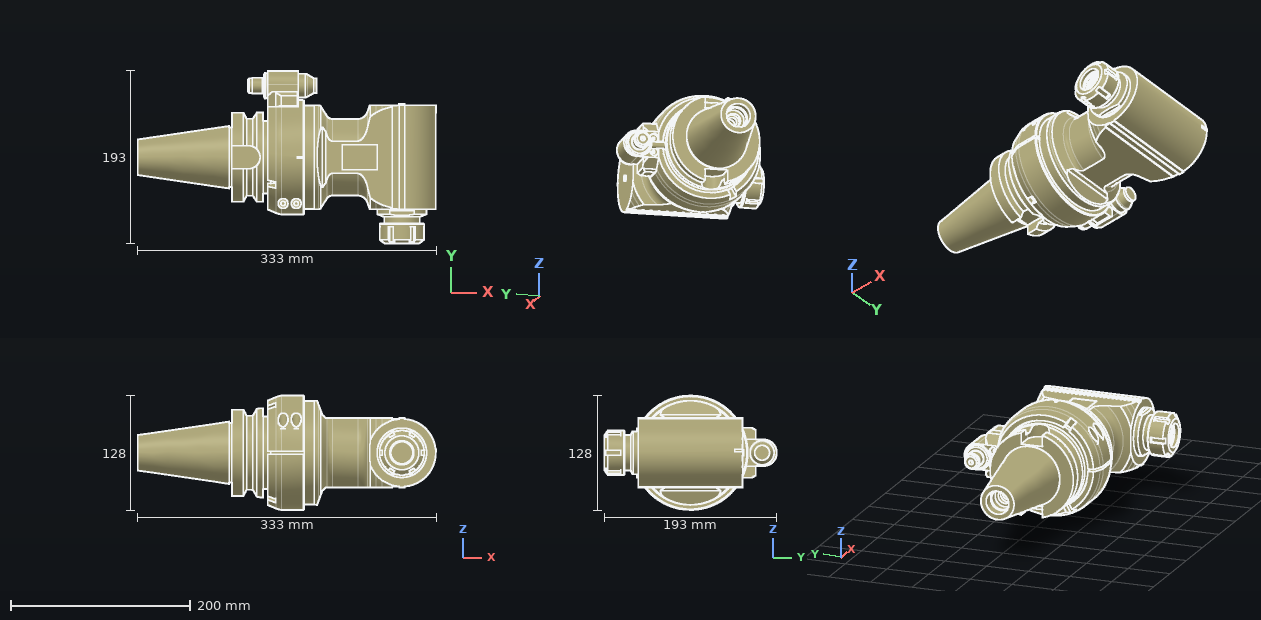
import cadquery as cq
import math


overall_width = 193.0

taper_length = 102.0
taper_small_radius = 20.0
taper_large_radius = 35.0
relief_radius = 33.3
flange_start = 105.0
flange_radius = 50.0
gripper_radius = 43.3
gripper_slope_start = 118.0
gripper_floor_start = 121.5
gripper_floor_end = 128.5
gripper_slope_end = 133.0
flange_end = 140.0
shank_neck_radius = 40.5
key_width = 25.5
key_end = 136.5
key_floor = 35.3
bore_mouth_radius = 27.0 / 2
bore_mouth_depth = 13.3
thread_radius = 12.0
thread_depth = 23.3
seal_radius = 8.0
seal_depth = 30.0
coolant_radius = 10.3 / 2
coolant_depth = 40.0

ring_start = 145.0
ring_end = 186.0
ring_radius = 64.0
ring_recess_depth = 3.3
hub_start = ring_start + ring_recess_depth
ring_face_radius = 58.3
ring_bore_radius = 51.5
ring_cone_end = 154.3
ring_cone_radius = 62.3
ring_round_end = 160.0
ring_rear_chamfer = 1.0
slit_width = 3.0
face_slot_width = 8.0
face_slot_depth = 9.0
face_slot_inner = 48.3
face_slot_outer = 66.5
face_slot_angles = (60, 180, 300)
clamp_screw_stations = (162.2, 177.0)
clamp_screw_y = -51.5
clamp_screw_radius = 11.0 / 2
clamp_seat_z = 26.5
clamp_socket_radius = 5.0 / 2
clamp_socket_depth = 3.3
mark_length = 8.0
mark_half_width = 1.5

spindle_x = 295.0
nose_radius = 38.0
head_half_width = 58.3
flat_z = 39.0
flat_end = 284.0
rib_width = 6.3
hub_front_radius = 58.0
hub_step = 197.2
hub_radius = 58.3
hub_edge = 201.2
hub_cone_start = 204.2
hub_cone_drop = 1.0
hub_cone_angle = 62
neck_radius = 43.0
neck_start = 217.0
neck_end = 245.5
neck_front_fillet = 6.5
neck_rear_fillet = 11.3
neck_rear_angle = 68
shoulder_bands = (259.5, 265.5, 272.5, 284.0)
hub_cut_start = 200.2
hub_cut_crease = 206.2
hub_cut_crease_z = 42.3
hub_cut_end = 210.0
plate_start = 228.2
plate_length = 39.3
plate_width = 28.0
plate_depth = 0.3
rear_boss_radius = 3.3
rear_boss_height = 1.3
tab_end = 333.0
tab_depth = 1.5
tab_length = 8.5
tab_width = 2.5
tab_z = 2.5

pin_y = 80.0
block_round_radius = 15.0
block_outer_y = overall_width / 2
block_seat_y = 56.5
block_length = 34.3
foot_length = 33.3
foot_outer_y = 73.0
foot_half_height = 28.0
foot_round_drop = 2.0
foot_chamfer_y = 4.3
foot_chamfer_z = 2.5
foot_chamfer_x = 5.0
pin_tip_x = 123.0
pin_radius = 18.0 / 2
pin_tip_radius = 6.5
pin_tip_chamfer = 1.5
pin_waist_radius = 8.3
pin_land_start = 127.5
pin_land_end = 139.3
pin_hole_radius = 5.0 / 2
pin_hole_depth = 6.5
collar_start = 141.0
collar_radius = 14.5
collar_face_radius = 12.3
collar_chamfer_end = 142.0
collar_rim_end = 143.0
collar_back_radius = 14.0
sleeve_radius = 27.0 / 2
sleeve_end = 187.2
sleeve_rim_radius = 12.5
sleeve_rim_end = 189.2
sleeve_cone_end = 196.5
sleeve_tip_radius = 8.3
sleeve_tip_end = 199.5
block_screw_y = 61.5
block_screw_z = 7.5
block_screw_radius = 10.0 / 2
block_screw_depth = 3.3
block_socket_radius = 3.0 / 2
block_socket_depth = 6.0
key_pin_radius = face_slot_width / 2
key_pin_inner_y = face_slot_inner
key_pin_outer_y = 65.3

disc_radius = 27.5
disc_end = 60.0
wrench_end = 63.5
wrench_cone_end = 66.5
wrench_flat_z = 24.0
spindle_neck_radius = 20.0
nut_start = 73.5
nut_radius = 25.0
nut_edge = 92.3
nut_face_radius = 19.0
nut_end = overall_width / 2
nut_back_chamfer = 1.0
collet_radius = 27.0 / 2
collet_depth = 16.5
collet_floor_radius = 12.3
collet_step_depth = 15.0
collet_groove_radius = 15.3
collet_groove_width = 2.5
collet_groove_depths = (5.3, 10.5)
nut_slot_count = 6
nut_slot_width = 6.0
nut_slot_start = 77.5
nut_slot_floor = 21.5


def revolve_x(outline):
    """Turn a closed (x, radius) outline about the X axis."""
    return outline.close().revolve(360, (0, 0, 0), (1, 0, 0))


def turned(points):
    """Turn a body about the X axis from (x, radius) points that start and end on the axis."""
    return revolve_x(cq.Workplane("XY").polyline(points))


def rod_x(start, end, radius, y=0.0, z=0.0):
    return cq.Workplane("YZ", origin=(start, y, z)).circle(radius).extrude(end - start)


def block(x_range, y_range, z_range):
    size = [high - low for low, high in (x_range, y_range, z_range)]
    corner = (x_range[0], y_range[0], z_range[0])
    return cq.Workplane("XY").box(*size, centered=False).translate(corner)


def make_shank():
    shank = turned([
        (0, 0),
        (0, taper_small_radius),
        (taper_length, taper_large_radius),
        (taper_length, relief_radius),
        (flange_start, relief_radius),
        (flange_start, flange_radius),
        (gripper_slope_start, flange_radius),
        (gripper_floor_start, gripper_radius),
        (gripper_floor_end, gripper_radius),
        (gripper_slope_end, flange_radius),
        (flange_end, flange_radius),
        (flange_end, shank_neck_radius),
        (hub_start, shank_neck_radius),
        (hub_start, 0),
    ])
    bore = turned([
        (0, 0),
        (0, bore_mouth_radius),
        (bore_mouth_depth, bore_mouth_radius),
        (bore_mouth_depth, thread_radius),
        (thread_depth, thread_radius),
        (thread_depth, seal_radius),
        (seal_depth, seal_radius),
        (seal_depth, coolant_radius),
        (coolant_depth, coolant_radius),
        (coolant_depth + coolant_radius, 0),
    ])
    shank = shank.cut(bore)

    end_center = key_end - key_width / 2
    keyway = block((taper_length, end_center), (-key_width / 2, key_width / 2), (key_floor, flange_radius))
    round_end = (
        cq.Workplane("XY", origin=(end_center, 0, key_floor))
        .circle(key_width / 2)
        .extrude(flange_radius - key_floor)
    )
    keyway = keyway.union(round_end)
    return shank.cut(keyway).cut(keyway.mirror("XY"))


def make_clamp_ring():
    outline = (
        cq.Workplane("XY")
        .moveTo(ring_start, ring_bore_radius)
        .lineTo(ring_start, ring_face_radius)
        .lineTo(ring_cone_end, ring_cone_radius)
        .tangentArcPoint((ring_round_end, ring_radius), relative=False)
        .lineTo(ring_end - ring_rear_chamfer, ring_radius)
        .lineTo(ring_end, ring_radius - ring_rear_chamfer)
        .lineTo(ring_end, ring_bore_radius)
    )
    ring = revolve_x(outline)

    ring = ring.cut(block((ring_start, ring_end), (-ring_radius, 0), (-slit_width / 2, slit_width / 2)))

    slot = block(
        (ring_start, ring_start + face_slot_depth),
        (-face_slot_outer, -face_slot_inner),
        (-face_slot_width / 2, face_slot_width / 2),
    )
    for angle in face_slot_angles:
        ring = ring.cut(slot.rotate((0, 0, 0), (1, 0, 0), angle))

    for x in clamp_screw_stations:
        seat = cq.Workplane("XY", origin=(x, clamp_screw_y, clamp_seat_z))
        ring = ring.cut(seat.circle(clamp_screw_radius).extrude(ring_radius - clamp_seat_z))
        ring = ring.cut(seat.circle(clamp_socket_radius).extrude(-clamp_socket_depth))

    mark = (
        cq.Workplane("YZ", origin=(ring_end - mark_length, 0, 0))
        .polyline([
            (0, ring_radius - mark_half_width),
            (mark_half_width, ring_radius + mark_half_width),
            (-mark_half_width, ring_radius + mark_half_width),
        ])
        .close()
        .extrude(mark_length)
    )
    ring = ring.cut(mark)

    seat = block(
        (ring_start, ring_start + block_length),
        (block_seat_y, ring_radius),
        (-foot_half_height, foot_half_height),
    )
    return ring.cut(seat)


def make_housing():
    sphere_radius = math.hypot(nose_radius, head_half_width)
    front_angle = math.radians(hub_cone_angle)
    rear_angle = math.radians(neck_rear_angle)

    def fillet_point(x, radius, angle):
        return x + radius * math.sin(angle), neck_radius + radius * (1 - math.cos(angle))

    outline = (
        cq.Workplane("XY")
        .moveTo(hub_start, 0)
        .lineTo(hub_start, ring_bore_radius)
        .lineTo(ring_end, ring_bore_radius)
        .lineTo(ring_end, hub_front_radius)
        .lineTo(hub_step, hub_front_radius)
        .lineTo(hub_step, hub_radius)
        .lineTo(hub_edge, hub_radius)
        .tangentArcPoint((hub_cone_start, hub_radius - hub_cone_drop), relative=False)
        .lineTo(*fillet_point(neck_start, neck_front_fillet, -front_angle))
        .threePointArc(
            fillet_point(neck_start, neck_front_fillet, -front_angle / 2),
            (neck_start, neck_radius),
        )
        .lineTo(neck_end, neck_radius)
        .threePointArc(
            fillet_point(neck_end, neck_rear_fillet, rear_angle / 2),
            fillet_point(neck_end, neck_rear_fillet, rear_angle),
        )
    )
    for x in shoulder_bands:
        outline = outline.lineTo(x, math.sqrt(sphere_radius**2 - (x - spindle_x) ** 2))
    head_end = spindle_x + nose_radius
    outline = outline.lineTo(spindle_x, sphere_radius).lineTo(head_end, sphere_radius).lineTo(head_end, 0)
    housing = revolve_x(outline)

    profile = (
        cq.Workplane("XZ", origin=(0, head_half_width, 0))
        .moveTo(hub_start, -hub_radius)
        .lineTo(hub_start, hub_radius)
        .lineTo(hub_cut_start, hub_radius)
        .lineTo(hub_cut_crease, hub_cut_crease_z)
        .lineTo(hub_cut_end, flat_z)
        .lineTo(flat_end, flat_z)
        .lineTo(flat_end, nose_radius)
        .lineTo(spindle_x, nose_radius)
        .threePointArc((head_end, 0), (spindle_x, -nose_radius))
        .lineTo(flat_end, -nose_radius)
        .lineTo(flat_end, -flat_z)
        .lineTo(hub_cut_end, -flat_z)
        .lineTo(hub_cut_crease, -hub_cut_crease_z)
        .lineTo(hub_cut_start, -hub_radius)
        .close()
        .extrude(2 * head_half_width)
    )
    housing = housing.intersect(profile)

    rib = cq.Workplane("XY").box(rib_width, 2 * head_half_width, 2 * flat_z).translate((spindle_x, 0, 0))
    housing = housing.union(rib)

    plate = block(
        (plate_start, plate_start + plate_length),
        (-plate_width / 2, plate_width / 2),
        (flat_z - plate_depth, flat_z),
    )
    housing = housing.cut(plate)

    boss = (
        cq.Workplane("XZ", origin=(spindle_x, head_half_width, 0))
        .circle(rear_boss_radius)
        .extrude(-rear_boss_height)
    )
    tab = block(
        (tab_end - tab_depth, tab_end),
        (head_half_width - tab_length, head_half_width),
        (tab_z - tab_width / 2, tab_z + tab_width / 2),
    )
    return housing.union(boss).union(tab)


def make_stop():
    round_y = block_outer_y - block_round_radius
    block_end = ring_start + block_length
    upright = block(
        (ring_start, block_end),
        (block_seat_y, round_y),
        (-block_round_radius, block_round_radius),
    )
    stop = upright.union(rod_x(ring_start, block_end, block_round_radius, round_y))

    foot = (
        cq.Workplane("XZ", origin=(0, foot_outer_y, 0))
        .moveTo(ring_start, -block_round_radius)
        .lineTo(ring_start, block_round_radius)
        .lineTo(ring_cone_end, foot_half_height - foot_round_drop)
        .lineTo(ring_round_end, foot_half_height)
        .lineTo(ring_start + foot_length, foot_half_height)
        .lineTo(ring_start + foot_length, -foot_half_height)
        .lineTo(ring_round_end, -foot_half_height)
        .lineTo(ring_cone_end, foot_round_drop - foot_half_height)
        .lineTo(ring_start, -block_round_radius)
        .close()
        .extrude(foot_outer_y - block_seat_y)
    )
    foot_end_outline = (
        cq.Workplane("YZ", origin=(ring_start, 0, 0))
        .polyline([
            (block_seat_y, -foot_half_height),
            (foot_outer_y - foot_chamfer_y, -foot_half_height),
            (foot_outer_y, foot_chamfer_z - foot_half_height),
            (foot_outer_y, foot_half_height - foot_chamfer_z),
            (foot_outer_y - foot_chamfer_y, foot_half_height),
            (block_seat_y, foot_half_height),
        ])
        .close()
        .extrude(foot_length)
    )
    front_chamfer = (
        cq.Workplane("XY", origin=(0, 0, -foot_half_height))
        .polyline([
            (ring_start, foot_outer_y - foot_chamfer_y),
            (ring_start + foot_chamfer_x, foot_outer_y),
            (ring_start, foot_outer_y),
        ])
        .close()
        .extrude(2 * foot_half_height)
    )
    stop = stop.union(foot.intersect(foot_end_outline).cut(front_chamfer))

    pin = turned([
        (pin_tip_x, 0),
        (pin_tip_x, pin_tip_radius),
        (pin_tip_x + pin_tip_chamfer, pin_waist_radius),
        (pin_land_start, pin_waist_radius),
        (pin_land_start, pin_radius),
        (pin_land_end, pin_radius),
        (pin_land_end, pin_waist_radius),
        (collar_start, pin_waist_radius),
        (collar_start, collar_face_radius),
        (collar_chamfer_end, collar_radius),
        (collar_rim_end, collar_radius),
        (collar_rim_end, collar_back_radius),
        (ring_start, collar_back_radius),
        (ring_start, sleeve_radius),
        (sleeve_end, sleeve_radius),
        (sleeve_rim_end, sleeve_rim_radius),
        (sleeve_cone_end, sleeve_tip_radius),
        (sleeve_tip_end, sleeve_tip_radius),
        (sleeve_tip_end, 0),
    ])
    stop = stop.union(pin.translate((0, pin_y, 0)))
    stop = stop.cut(rod_x(pin_tip_x, pin_tip_x + pin_hole_depth, pin_hole_radius, pin_y))

    for z in (-block_screw_z, block_screw_z):
        seat_end = ring_start + block_screw_depth
        socket_end = ring_start + block_socket_depth
        stop = stop.cut(rod_x(ring_start, seat_end, block_screw_radius, block_screw_y, z))
        stop = stop.cut(rod_x(ring_start, socket_end, block_socket_radius, block_screw_y, z))

    pin_x = ring_start + key_pin_radius
    groove = block((ring_start, pin_x), (block_seat_y, key_pin_outer_y), (-key_pin_radius, key_pin_radius))
    key_pin = (
        cq.Workplane("XZ", origin=(pin_x, key_pin_inner_y, 0))
        .circle(key_pin_radius)
        .extrude(key_pin_inner_y - key_pin_outer_y)
    )
    return stop.cut(groove).union(key_pin)


def make_spindle():
    points = [
        (0, head_half_width),
        (disc_radius, head_half_width),
        (disc_radius, wrench_end),
        (spindle_neck_radius, wrench_cone_end),
        (spindle_neck_radius, nut_start),
        (nut_radius - nut_back_chamfer, nut_start),
        (nut_radius, nut_start + nut_back_chamfer),
        (nut_radius, nut_edge),
        (nut_face_radius, nut_end),
        (collet_radius, nut_end),
        (collet_radius, nut_end - collet_step_depth),
        (collet_floor_radius, nut_end - collet_step_depth),
        (collet_floor_radius, nut_end - collet_depth),
        (0, nut_end - collet_depth),
    ]
    spindle = cq.Workplane("XZ").polyline(points).close().revolve(360, (0, 0, 0), (0, 1, 0))

    for depth in collet_groove_depths:
        groove = cq.Workplane("XY", origin=(0, 0, nut_end - depth)).circle(collet_groove_radius)
        spindle = spindle.cut(groove.extrude(-collet_groove_width))

    for side in (-1, 1):
        center_y = side * (wrench_flat_z + disc_radius / 2)
        flat = cq.Workplane("XY", origin=(0, center_y, disc_end)).rect(2 * disc_radius, disc_radius)
        spindle = spindle.cut(flat.extrude(wrench_cone_end - disc_end))

    slot = block(
        (nut_slot_floor, nut_radius),
        (-nut_slot_width / 2, nut_slot_width / 2),
        (nut_slot_start, nut_end),
    )
    for index in range(nut_slot_count):
        spindle = spindle.cut(slot.rotate((0, 0, 0), (0, 0, 1), index * 360 / nut_slot_count))
    return spindle.rotate((0, 0, 0), (1, 0, 0), 90).translate((spindle_x, 0, 0))


stop = make_stop()
shank = make_shank()
clamp_ring = make_clamp_ring()
housing = make_housing().cut(stop)
spindle = make_spindle()

result = cq.Compound.makeCompound(
    [shank.val(), clamp_ring.val(), housing.val(), stop.val(), spindle.val()]
)